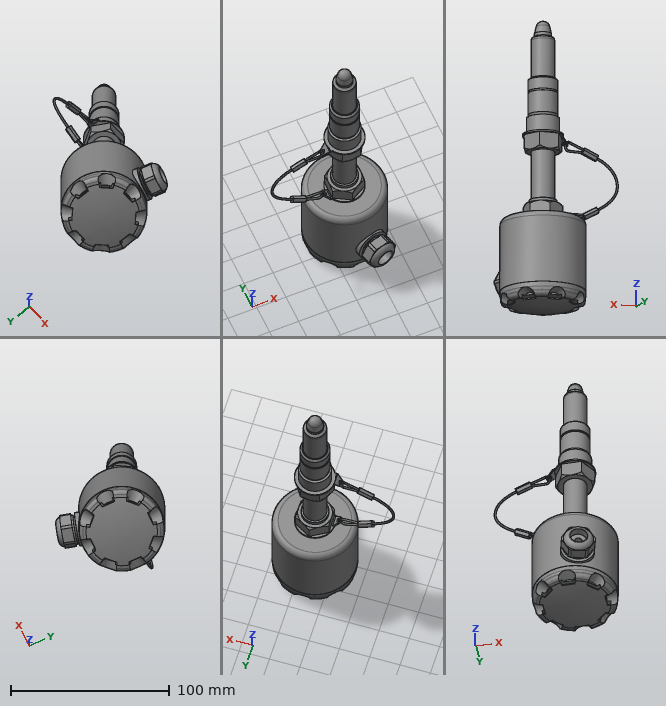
import cadquery as cq
import math

TOTAL_HEIGHT = 188.0
BODY_BOTTOM = 11.3
BODY_TOP = 58.4

BODY_DIA = 54.5
BODY_EDGE_RADIUS = 4.0
CAP_DIA = 54.1
CAP_TAPER_TOP = 8.2
CAP_TAPER_BOTTOM = 6.1
CAP_TAPER_INSET = 0.3
CAP_CORNER_RADIUS = 2.9
CAP_DOME_RADIUS = 110.0

WINDOW_COUNT = 8
WINDOW_RADIUS = 6.2
WINDOW_THROAT_RADIUS = 4.2
WINDOW_AXIS_Z = 2.0
WINDOW_INNER_RADIUS = 20.0
CAVITY_DIA = 45.0
CAVITY_BOTTOM = 2.65
CAVITY_TOP = 4.8

STEM_DIA = 15.0
HEX_ACROSS_FLATS = 22.0
HEX_CHAMFER_HEIGHT = 1.6
WASHER_DIA = 26.0
WASHER_THICKNESS = 1.0
LOWER_HEX_TOP = 68.5
COLLAR_DIA = 17.5
COLLAR_TOP = 71.0
UPPER_HEX_BOTTOM = 102.7
UPPER_WASHER_TOP = 114.0
SLEEVE_DIA = 21.0
SLEEVE_TOP = 124.7
NECK_DIA = 17.5
RING_DIA = 19.0
RING_BOTTOM = 126.7
RING_GROOVE_BOTTOM = 140.9
RING_GROOVE_TOP = 142.0
RING_GROOVE_DEPTH = 0.25
RING_TOP = 150.5
RING_CHAMFER = 1.3
STEM_CHAMFER_BOTTOM = 175.3
STEM_TOP = 176.6
STEM_TOP_DIA = 14.6
TIP_BASE_DIA = 11.0
TIP_BASE_BOTTOM = 177.9
TIP_BASE_TOP = 179.9
TIP_BALL_RADIUS = 4.5
TIP_HALF_ANGLE = math.radians(12.8)

GLAND_ANGLE = 15.0
GLAND_Z = 24.2
GLAND_ROOT = 20.0
GLAND_FLANGE_DIA = 21.5
GLAND_FLANGE_END = 28.5
GLAND_NECK_DIA = 16.0
GLAND_NECK_END = 29.7
GLAND_RING_DIA = 19.0
GLAND_NUT_START = 30.9
GLAND_NUT_FLATS = 19.5
GLAND_NUT_DIA = 21.5
GLAND_NUT_DOME_START = 38.0
GLAND_DOME_DIA = 19.2
GLAND_DOME_RISE = 0.6
GLAND_END = 41.28
GLAND_MOUTH_DIA = 11.0
GLAND_SEAL_DEPTH = 5.0
GLAND_FACE_DIA = 12.1
GLAND_BORE_DIA = 4.5
GLAND_BORE_DEPTH = 6.0

TETHER_Y = -2.6
CABLE_DIA = 1.3
CABLE_REACH = 51.66
CABLE_BOW_Z = 85.5
STRAND_OFFSET = 0.8
STRAND_INSERTION = 1.0
CRIMP_CORNER_DIA = 4.5
UPPER_CRIMP = ((-37.2, 102.6), (-27.9, 106.7))
UPPER_LOOP = ((-18.3, 111.5), (-16.0, 108.8), (-18.0, 105.7))
LOWER_CRIMP = ((-37.4, 68.8), (-28.4, 63.7))
LOWER_LOOP = ((-18.3, 64.6), (-16.2, 61.9), (-19.6, 59.2))
TAB_START_X = 12.3
TAB_WIDTH = 5.0
TAB_ROOT_WIDTH = 8.0
TAB_ROOT_LENGTH = 4.0
TAB_HOLE_DIA = 2.4
TAB_HOLE_DISTANCE = 4.2
TAB_ANGLE = 45.0


def disc(diameter, bottom, top):
    return cq.Workplane("XY").workplane(offset=bottom).circle(diameter / 2).extrude(top - bottom)


def make_body():
    return disc(BODY_DIA, BODY_BOTTOM, BODY_TOP).faces(">Z").edges().fillet(BODY_EDGE_RADIUS)


def dome_height_at(radius):
    return CAP_DOME_RADIUS - math.sqrt(CAP_DOME_RADIUS**2 - radius**2)


def make_cap():
    """Domed cap with a rounded rim and arched vents opening into a flat round cavity."""
    radius = CAP_DIA / 2
    low_radius = radius - CAP_TAPER_INSET
    half_radius = low_radius / 2
    rim_z = dome_height_at(low_radius)
    cap = (
        cq.Workplane("XZ")
        .moveTo(0, 0)
        .threePointArc((half_radius, dome_height_at(half_radius)), (low_radius, rim_z))
        .lineTo(low_radius, CAP_TAPER_BOTTOM)
        .lineTo(radius, CAP_TAPER_TOP)
        .lineTo(radius, BODY_BOTTOM)
        .lineTo(0, BODY_BOTTOM)
        .close()
        .revolve(360, (0, 0, 0), (0, 1, 0))
    )
    rim_probe = (0, -low_radius, rim_z)
    cap = cap.edges(cq.selectors.NearestToPointSelector(rim_probe)).fillet(CAP_CORNER_RADIUS)
    window = (
        cq.Workplane("YZ")
        .workplane(offset=WINDOW_INNER_RADIUS)
        .center(0, WINDOW_AXIS_Z)
        .circle(WINDOW_THROAT_RADIUS)
        .workplane(offset=radius - WINDOW_INNER_RADIUS)
        .circle(WINDOW_RADIUS)
        .loft()
    )
    cap = cap.cut(disc(CAVITY_DIA, CAVITY_BOTTOM, CAVITY_TOP))
    for index in range(WINDOW_COUNT):
        cap = cap.cut(window.rotate((0, 0, 0), (0, 0, 1), index * 360 / WINDOW_COUNT))
    return cap


def make_hex(bottom, top, turn, chamfer_up):
    """Hexagon with its corners bevelled at one end; turn = 0 puts corners on X."""
    corner_dia = HEX_ACROSS_FLATS / math.cos(math.pi / 6)
    height = top - bottom
    blank = cq.Workplane("XY").circle(corner_dia / 2).extrude(height)
    end_face = ">Z" if chamfer_up else "<Z"
    drop = (corner_dia - HEX_ACROSS_FLATS) / 2
    blank = blank.faces(end_face).edges().chamfer(HEX_CHAMFER_HEIGHT, drop)
    prism = cq.Workplane("XY").polygon(6, corner_dia).extrude(height)
    return prism.intersect(blank).rotate((0, 0, 0), (0, 0, 1), turn).translate((0, 0, bottom))


def make_stem():
    """Turned stem from the body top to the ball tip, as one revolved outline."""
    stem = STEM_DIA / 2
    ring = RING_DIA / 2
    groove = ring - RING_GROOVE_DEPTH
    ball_centre = TOTAL_HEIGHT - TIP_BALL_RADIUS
    ball_edge_radius = TIP_BALL_RADIUS * math.cos(TIP_HALF_ANGLE)
    ball_edge_z = ball_centre + TIP_BALL_RADIUS * math.sin(TIP_HALF_ANGLE)
    cone_radius = ball_edge_radius + (ball_edge_z - TIP_BASE_TOP) * math.tan(TIP_HALF_ANGLE)
    ball_mid = TIP_BALL_RADIUS * math.sqrt(0.5)
    return (
        cq.Workplane("XZ")
        .moveTo(0, BODY_TOP)
        .lineTo(COLLAR_DIA / 2, BODY_TOP)
        .lineTo(COLLAR_DIA / 2, COLLAR_TOP)
        .lineTo(stem, COLLAR_TOP)
        .lineTo(stem, UPPER_WASHER_TOP)
        .lineTo(SLEEVE_DIA / 2, UPPER_WASHER_TOP)
        .lineTo(SLEEVE_DIA / 2, SLEEVE_TOP)
        .lineTo(NECK_DIA / 2, SLEEVE_TOP)
        .lineTo(ring, RING_BOTTOM)
        .lineTo(ring, RING_GROOVE_BOTTOM)
        .lineTo(groove, RING_GROOVE_BOTTOM)
        .lineTo(groove, RING_GROOVE_TOP)
        .lineTo(ring, RING_GROOVE_TOP)
        .lineTo(ring, RING_TOP - RING_CHAMFER)
        .lineTo(ring - RING_CHAMFER, RING_TOP)
        .lineTo(stem, RING_TOP)
        .lineTo(stem, STEM_CHAMFER_BOTTOM)
        .lineTo(STEM_TOP_DIA / 2, STEM_TOP)
        .lineTo(TIP_BASE_DIA / 2, TIP_BASE_BOTTOM)
        .lineTo(TIP_BASE_DIA / 2, TIP_BASE_TOP)
        .lineTo(cone_radius, TIP_BASE_TOP)
        .lineTo(ball_edge_radius, ball_edge_z)
        .threePointArc((ball_mid, ball_centre + ball_mid), (0, TOTAL_HEIGHT))
        .close()
        .revolve(360, (0, 0, 0), (0, 1, 0))
    )


def make_gland():
    """Cable gland built along +Z, then laid down and turned to its place."""
    nut_corner_dia = GLAND_NUT_FLATS / math.cos(math.pi / 6)
    nut_length = GLAND_END - GLAND_NUT_START
    nut_radius = GLAND_NUT_DIA / 2
    face_radius = GLAND_FACE_DIA / 2
    dome_radius = GLAND_DOME_DIA / 2
    dome_height = GLAND_END - GLAND_NUT_DOME_START
    dome_mid = (
        face_radius + (dome_radius - face_radius) * math.sqrt(0.5),
        GLAND_NUT_DOME_START + dome_height * GLAND_DOME_RISE,
    )
    nut_blank = (
        cq.Workplane("XZ")
        .moveTo(0, GLAND_NUT_START)
        .lineTo(nut_radius, GLAND_NUT_START)
        .lineTo(nut_radius, GLAND_NUT_DOME_START)
        .lineTo(dome_radius, GLAND_NUT_DOME_START)
        .threePointArc(dome_mid, (face_radius, GLAND_END))
        .lineTo(0, GLAND_END)
        .close()
        .revolve(360, (0, 0, 0), (0, 1, 0))
    )
    prism = cq.Workplane("XY").workplane(offset=GLAND_NUT_START).polygon(6, nut_corner_dia).extrude(nut_length)
    seal_z = GLAND_END - GLAND_SEAL_DEPTH
    gland = (
        disc(GLAND_FLANGE_DIA, GLAND_ROOT, GLAND_FLANGE_END)
        .union(disc(GLAND_NECK_DIA, GLAND_FLANGE_END, GLAND_NECK_END))
        .union(disc(GLAND_RING_DIA, GLAND_NECK_END, GLAND_NUT_START))
        .union(prism.intersect(nut_blank))
        .cut(disc(GLAND_MOUTH_DIA, seal_z, GLAND_END))
        .cut(disc(GLAND_BORE_DIA, seal_z - GLAND_BORE_DEPTH, seal_z))
    )
    return (
        gland.rotate((0, 0, 0), (1, 0, 0), 90)
        .rotate((0, 0, 0), (0, 0, 1), GLAND_ANGLE)
        .translate((0, 0, GLAND_Z))
    )


def make_tab_washer(bottom, slope):
    """Washer with a holed tab towards -X; slope = 1 bends it up, -1 down."""
    washer = disc(WASHER_DIA, bottom, bottom + WASHER_THICKNESS)
    half_root = TAB_ROOT_WIDTH / 2
    half_tab = TAB_WIDTH / 2
    root = (
        cq.Workplane("XY")
        .rect(TAB_ROOT_LENGTH, TAB_ROOT_WIDTH)
        .extrude(WASHER_THICKNESS)
        .translate((TAB_ROOT_LENGTH / 2 - TAB_START_X, TETHER_Y, bottom))
    )
    strip = (
        cq.Workplane("XY")
        .polyline(
            [
                (0, -half_root),
                (0, half_root),
                (-TAB_HOLE_DISTANCE, half_tab),
                (-TAB_HOLE_DISTANCE, -half_tab),
            ]
        )
        .close()
        .extrude(WASHER_THICKNESS)
    )
    tab = (
        strip.union(disc(TAB_WIDTH, 0, WASHER_THICKNESS).translate((-TAB_HOLE_DISTANCE, 0, 0)))
        .cut(disc(TAB_HOLE_DIA, 0, WASHER_THICKNESS).translate((-TAB_HOLE_DISTANCE, 0, 0)))
        .rotate((0, 0, 0), (0, 1, 0), slope * TAB_ANGLE)
        .translate((-TAB_START_X, TETHER_Y, bottom))
    )
    return washer.union(root).union(tab)


def unit_vector(start, end):
    length = math.dist(start, end)
    return ((end[0] - start[0]) / length, (end[1] - start[1]) / length)


def tether_plane():
    return cq.Workplane("XZ", origin=(0, TETHER_Y, 0))


def cross_section_plane(point, direction):
    """Workplane at an (X, Z) point of the tether, square to the given direction."""
    plane = cq.Plane(
        origin=(point[0], TETHER_Y, point[1]), xDir=(0, 1, 0), normal=(direction[0], 0, direction[1])
    )
    return cq.Workplane(plane)


def sweep_cable(path, start, direction):
    return cross_section_plane(start, direction).circle(CABLE_DIA / 2).sweep(path, transition="round")


def make_crimp(crimp):
    outer, inner = crimp
    section = cross_section_plane(outer, unit_vector(outer, inner))
    return section.polygon(6, CRIMP_CORNER_DIA).extrude(math.dist(outer, inner))


def make_loop(crimp, loop):
    """Two strands leaving the crimp, joined by a round bend through the tab hole."""
    outer, inner = crimp
    direction = unit_vector(outer, inner)
    shift = (-direction[1] * STRAND_OFFSET, direction[0] * STRAND_OFFSET)
    inside = (inner[0] - direction[0] * STRAND_INSERTION, inner[1] - direction[1] * STRAND_INSERTION)
    root = (inside[0] + shift[0], inside[1] + shift[1])
    tail = (inside[0] - shift[0], inside[1] - shift[1])
    path = (
        tether_plane()
        .moveTo(*root)
        .lineTo(*loop[0])
        .threePointArc(loop[1], loop[2])
        .lineTo(*tail)
    )
    return sweep_cable(path, root, unit_vector(root, loop[0]))


def make_bow():
    """Free cable between the two crimps, leaving each one along its axis."""
    upper_out = unit_vector(UPPER_CRIMP[1], UPPER_CRIMP[0])
    lower_in = unit_vector(LOWER_CRIMP[0], LOWER_CRIMP[1])
    bow_point = (-CABLE_REACH + CABLE_DIA / 2, CABLE_BOW_Z)
    path = tether_plane().spline(
        [UPPER_CRIMP[0], bow_point, LOWER_CRIMP[0]], tangents=[upper_out, (0, -1), lower_in]
    )
    return sweep_cable(path, UPPER_CRIMP[0], upper_out)


def make_tether():
    tether = make_bow()
    for crimp, loop in ((UPPER_CRIMP, UPPER_LOOP), (LOWER_CRIMP, LOWER_LOOP)):
        tether = tether.union(make_crimp(crimp)).union(make_loop(crimp, loop))
    return tether


upper_washer_bottom = UPPER_WASHER_TOP - WASHER_THICKNESS
result = (
    make_body()
    .union(make_cap())
    .union(make_gland())
    .union(make_stem())
    .union(make_hex(BODY_TOP, LOWER_HEX_TOP, 30, True))
    .union(make_hex(UPPER_HEX_BOTTOM, upper_washer_bottom, 0, False))
    .union(make_tab_washer(BODY_TOP, 1))
    .union(make_tab_washer(upper_washer_bottom, -1))
    .union(make_tether())
)